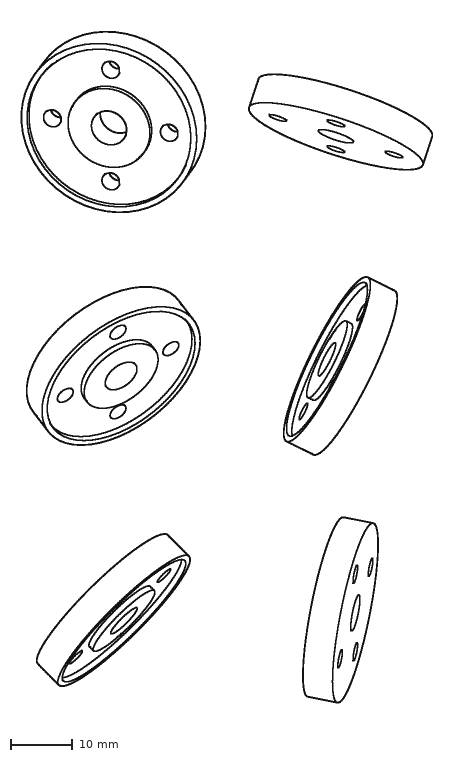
import cadquery as cq

outer_diameter = 30.0
thickness = 5.0
recess_diameter = 28.0
recess_depth = 1.0
hub_diameter = 14.0
bore_diameter = 6.0
bolt_hole_diameter = 3.0
bolt_circle_radius = 10.0
bolt_hole_count = 4


def cylinder(diameter, length):
    """Cylinder on the Y axis, from the front face (y = 0) back toward +Y."""
    return cq.Workplane("XZ").circle(diameter / 2).extrude(-length)


recess = cylinder(recess_diameter, recess_depth).cut(cylinder(hub_diameter, recess_depth))
bolt_holes = (
    cq.Workplane("XZ")
    .polarArray(bolt_circle_radius, 0, 360, bolt_hole_count)
    .circle(bolt_hole_diameter / 2)
    .extrude(-thickness)
)

result = (
    cylinder(outer_diameter, thickness)
    .cut(recess)
    .cut(cylinder(bore_diameter, thickness))
    .cut(bolt_holes)
)